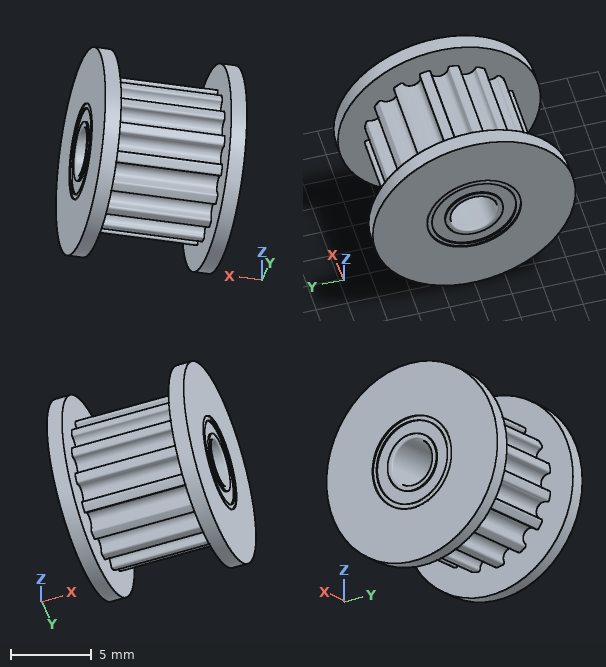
import cadquery as cq
import math

flange_diameter = 13.0
flange_thickness = 1.0
total_width = 9.0
half_width = total_width / 2
core_width = total_width - 2 * flange_thickness

tooth_count = 16
core_radius = 4.84
groove_radius = 0.56
tip_radius = 0.15

bore_diameter = 3.0
inner_race_diameter = 3.7
outer_race_inner_diameter = 5.4
bearing_diameter = 6.0
race_fillet = 0.1
shield_recess = 0.1


def polar(radius, angle):
    return radius * math.cos(angle), radius * math.sin(angle)


def make_core():
    """Extrude the tooth outline: round grooves blending tangentially into rounded tips."""
    tip_center_radius = core_radius - tip_radius
    tip_center_offset = groove_radius + tip_radius
    tip_angle = math.asin(tip_center_offset / tip_center_radius)
    groove_center = tip_center_radius * math.cos(tip_angle)
    groove_bottom = groove_center - groove_radius
    groove_edge_radius = math.hypot(groove_center, groove_radius)
    groove_edge_angle = math.atan2(groove_radius, groove_center)
    middle_direction = (math.pi / 2 - tip_angle) / 2
    middle_x = groove_center + tip_radius * math.sin(middle_direction)
    middle_y = tip_center_offset - tip_radius * math.cos(middle_direction)
    tip_middle_radius = math.hypot(middle_x, middle_y)
    tip_middle_angle = math.atan2(middle_y, middle_x)

    pitch = 2 * math.pi / tooth_count
    outline = cq.Workplane("YZ", origin=(-core_width / 2, 0, 0)).moveTo(*polar(core_radius, -tip_angle))
    for index in range(tooth_count):
        center = index * pitch
        outline = (
            outline
            .threePointArc(
                polar(tip_middle_radius, center - tip_middle_angle),
                polar(groove_edge_radius, center - groove_edge_angle),
            )
            .threePointArc(
                polar(groove_bottom, center),
                polar(groove_edge_radius, center + groove_edge_angle),
            )
            .threePointArc(
                polar(tip_middle_radius, center + tip_middle_angle),
                polar(core_radius, center + tip_angle),
            )
            .threePointArc(
                polar(core_radius, center + pitch / 2),
                polar(core_radius, center + pitch - tip_angle),
            )
        )
    return outline.close().extrude(core_width)


def make_flange(start_x):
    return cq.Workplane("YZ", origin=(start_x, 0, 0)).circle(flange_diameter / 2).extrude(flange_thickness)


def revolve_about_axis(outline):
    """Close an (axial, radial) outline and revolve it about the pulley axis."""
    return outline.close().revolve(360, (0, 0, 0), (1, 0, 0))


def make_bearing_relief():
    """Cutters for the bearing face at the -X end: shield recess and race roundings."""
    face = -half_width
    bearing_radius = bearing_diameter / 2
    bore_radius = bore_diameter / 2
    shield = revolve_about_axis(cq.Workplane("XY").polyline([
        (face, inner_race_diameter / 2),
        (face, outer_race_inner_diameter / 2),
        (face + shield_recess, outer_race_inner_diameter / 2),
        (face + shield_recess, inner_race_diameter / 2),
    ]))
    diagonal = race_fillet * (1 - math.sqrt(0.5))
    outer_rounding = revolve_about_axis(
        cq.Workplane("XY")
        .moveTo(face, bearing_radius - race_fillet)
        .threePointArc(
            (face + diagonal, bearing_radius - diagonal),
            (face + race_fillet, bearing_radius),
        )
        .lineTo(face, bearing_radius)
    )
    bore_rounding = revolve_about_axis(
        cq.Workplane("XY")
        .moveTo(face, bore_radius + race_fillet)
        .threePointArc(
            (face + diagonal, bore_radius + diagonal),
            (face + race_fillet, bore_radius),
        )
        .lineTo(face + race_fillet, 0)
        .lineTo(face, 0)
    )
    return shield, outer_rounding, bore_rounding


pulley = make_core().union(make_flange(-half_width)).union(make_flange(core_width / 2))
bore = cq.Workplane("YZ", origin=(-half_width, 0, 0)).circle(bore_diameter / 2).extrude(total_width)
pulley = pulley.cut(bore)
for relief in make_bearing_relief():
    pulley = pulley.cut(relief).cut(relief.mirror("YZ"))

result = pulley